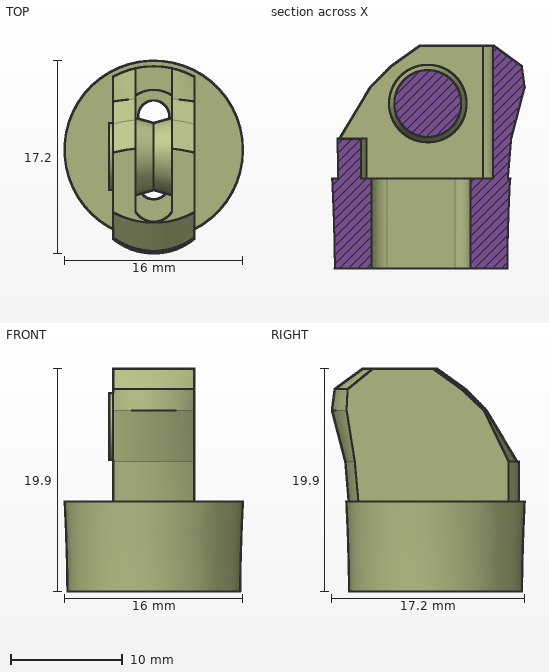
import cadquery as cq

base_height = 8.07
base_top_radius = 7.978
base_middle_radius = 7.8
base_bottom_radius = 7.73

total_height = 19.92
head_half_width = 3.63
ledge_height = 11.61
head_levels = [
    (base_height, -6.9, -7.77, 6.53, 7.47),
    (ledge_height, -7.21, -8.07, 6.53, 7.47),
    (16.2, -7.95, -9.26, 4.32, 4.6),
    (18.09, -7.85, -9.02, 2.31, 2.77),
    (total_height, -5.58, -6.51, -0.24, 0.2),
]

slot_half_width = 1.63
slot_front_side = -5.52
slot_front_centre = -6.41
pocket_back_side = 4.86
pocket_back_centre = 5.35

opening_length = 8.8
opening_width = 2.75

roller_y = -0.6
roller_z = 14.75
roller_rim_radius = 3.47
roller_groove_radius = 3.0
cap_radius = roller_groove_radius
cap_height = 0.35


def bowed_outline(plane, half_width, front_side, front_centre, back_side, back_centre):
    """Closed outline with straight sides and arced front and back ends."""
    return (
        plane.moveTo(-half_width, front_side)
        .threePointArc((0, front_centre), (half_width, front_side))
        .lineTo(half_width, back_side)
        .threePointArc((0, back_centre), (-half_width, back_side))
        .close()
    )


def make_base():
    return (
        cq.Workplane("XZ")
        .lineTo(base_bottom_radius, 0)
        .threePointArc((base_middle_radius, base_height / 2), (base_top_radius, base_height))
        .lineTo(0, base_height)
        .close()
        .revolve(360, (0, 0, 0), (0, 1, 0))
    )


def make_head_layer(lower, upper):
    """Ruled layer between two neighbouring head levels."""
    lower_height, *lower_ends = lower
    upper_height, *upper_ends = upper
    outline = bowed_outline(cq.Workplane("XY", origin=(0, 0, lower_height)), head_half_width, *lower_ends)
    outline = outline.workplane(offset=upper_height - lower_height)
    return bowed_outline(outline, head_half_width, *upper_ends).loft(ruled=True)


def make_slot():
    pocket = bowed_outline(
        cq.Workplane("XY", origin=(0, 0, base_height)),
        slot_half_width,
        slot_front_side,
        slot_front_centre,
        pocket_back_side,
        pocket_back_centre,
    ).extrude(total_height - base_height)
    back_gap = cq.Workplane("XY", origin=(0, 0, ledge_height)).box(
        2 * slot_half_width, base_top_radius, total_height - ledge_height, centered=(True, False, False)
    )
    return pocket.union(back_gap)


def make_opening():
    return cq.Workplane("XY").slot2D(opening_length, opening_width, 90).extrude(base_height)


def make_roller():
    return (
        cq.Workplane("XY", origin=(0, roller_y, roller_z))
        .moveTo(-slot_half_width, 0)
        .lineTo(-slot_half_width, roller_rim_radius)
        .lineTo(0, roller_groove_radius)
        .lineTo(slot_half_width, roller_rim_radius)
        .lineTo(slot_half_width, 0)
        .close()
        .revolve(360, (0, 0, 0), (1, 0, 0))
    )


def make_cap():
    return (
        cq.Workplane("YZ", origin=(-head_half_width, roller_y, roller_z))
        .circle(cap_radius)
        .extrude(-cap_height)
    )


result = make_base()
for lower_level, upper_level in zip(head_levels, head_levels[1:]):
    result = result.union(make_head_layer(lower_level, upper_level))
result = result.cut(make_slot()).cut(make_opening())
result = result.union(make_roller()).union(make_cap())